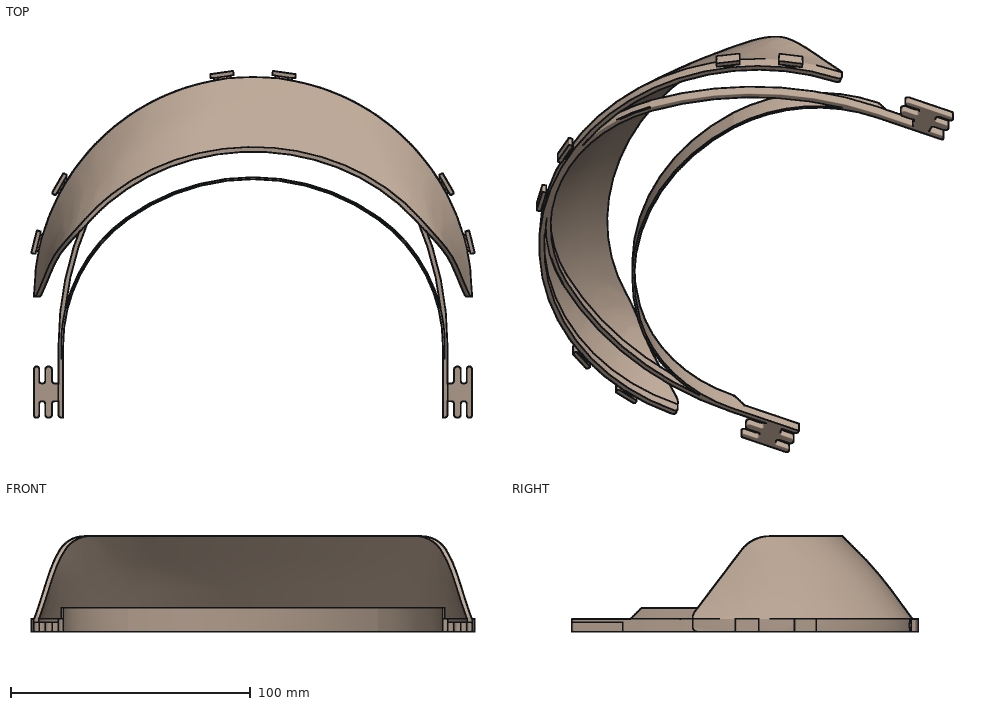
import cadquery as cq
import math

visor_radius = 91.4
visor_height = 40.0
visor_wall = 2.0
belly_height = 24.0
belly_front = 77.3
belly_half_width = 86.8
belly_depth = 79.9
rim_front = 62.1
rim_half_width = 88.6
rim_depth = 77.7

tip_y = -0.4
tip_height = 7.2
rim_start_y = 24.5
tip_bottom_radius = 2.2
tip_top_radius = 5.5
rim_corner_radius = 14.8

frame_height = 5.4
leg_inner_x = 79.2
leg_thickness = 2.0
leg_start_y = -20.7
leg_end_y = -50.9
leg_end_radius = 1.5
frame_side_radius = 135.0
frame_nose_radius = 61.5

band_height = 10.0
band_thickness = 1.0
band_side_radius = 64.7
band_nose_radius = 89.5
band_end_y = -26.3

hook_height = 4.0
hook_outer_x = 91.4
prong_top_y = -29.5
prong_bottom_y = leg_end_y
outer_prong_width = 2.2
middle_prong_width = 3.0
middle_prong_x = 85.3
plate_top_y = -36.5
plate_bottom_y = -44.0
slot_corner_radius = 1.0
edge_rounding = 0.4

clip_angles = (13.9, 30, 82)
clip_length = 9.8
clip_thickness = 1.8
clip_outer_radius = 94.1
clip_stem_length = 3.7
clip_stem_inset = 0.5
clip_rib_length = 7.0
clip_rib_height = 1.7
clip_end_radius = 0.4


def visor_solid(inset):
    """The full dome, with every section drawn in by the given inset."""
    belly_center = belly_front - belly_depth
    rim_center = rim_front - rim_depth
    base_radius = visor_radius - inset
    base = cq.Workplane("XY").circle(base_radius).extrude(frame_height)
    dome = (
        cq.Workplane("XY", origin=(0, 0, frame_height))
        .circle(base_radius)
        .workplane(offset=belly_height - frame_height)
        .center(0, belly_center)
        .ellipse(belly_half_width - inset, belly_depth - inset)
        .workplane(offset=visor_height - belly_height)
        .center(0, rim_center - belly_center)
        .ellipse(rim_half_width - inset, rim_depth - inset)
        .loft()
    )
    return base.union(dome)


def visor():
    front_y = visor_radius + visor_wall
    trim = (
        cq.Workplane("YZ", origin=(-clip_outer_radius, 0, 0))
        .moveTo(tip_y, 0)
        .lineTo(front_y, 0)
        .lineTo(front_y, visor_height)
        .lineTo(rim_start_y, visor_height)
        .lineTo(tip_y, tip_height)
        .close()
        .extrude(2 * clip_outer_radius)
    )
    corners = (
        (tip_y, 0, tip_bottom_radius),
        (tip_y, tip_height, tip_top_radius),
        (rim_start_y, visor_height, rim_corner_radius),
    )
    for y, z, radius in corners:
        trim = trim.edges(cq.selectors.NearestToPointSelector((0, y, z))).fillet(radius)
    return visor_solid(0).cut(visor_solid(visor_wall)).intersect(trim)


def arch_solid(side_radius, nose_radius, offset, end_y, height):
    """A filled arch: straight legs, side arcs and a nose arc, all tangent, grown by the offset."""
    half_width = leg_inner_x + offset
    side_center_x = leg_inner_x - side_radius
    center_gap = nose_radius - side_radius
    rise = math.copysign(math.sqrt(center_gap**2 - side_center_x**2), center_gap)
    nose_center_y = leg_start_y - rise
    nose = nose_radius + offset
    side = side_radius + offset
    tangent_angle = math.atan2(rise / center_gap, side_center_x / center_gap)
    joint_x = nose * math.cos(tangent_angle)
    joint_y = nose_center_y + nose * math.sin(tangent_angle)
    side_mid_x = side_center_x + side * math.cos(tangent_angle / 2)
    side_mid_y = leg_start_y + side * math.sin(tangent_angle / 2)
    return (
        cq.Workplane("XY")
        .moveTo(half_width, end_y)
        .lineTo(half_width, leg_start_y)
        .threePointArc((side_mid_x, side_mid_y), (joint_x, joint_y))
        .threePointArc((0, nose_center_y + nose), (-joint_x, joint_y))
        .threePointArc((-side_mid_x, side_mid_y), (-half_width, leg_start_y))
        .lineTo(-half_width, end_y)
        .close()
        .extrude(height)
    )


def frame():
    """The arch and legs, rounded along the outer side and at the leg ends."""
    arc_radii = (frame_side_radius, frame_nose_radius)
    outer = arch_solid(*arc_radii, leg_thickness, leg_end_y, frame_height)
    outer = outer.edges("|Z and <Y").fillet(leg_end_radius)
    outer = outer.faces("<Z or >Z").edges().fillet(edge_rounding)
    return outer.cut(arch_solid(*arc_radii, 0, leg_end_y, frame_height))


def headband():
    """The thin strip, its ends sloping down to the top of the legs."""
    arc_radii = (band_side_radius, band_nose_radius)
    outer = arch_solid(*arc_radii, band_thickness, band_end_y, band_height)
    strip = outer.cut(arch_solid(*arc_radii, 0, band_end_y, band_height))
    return strip.faces("<Y").edges(">Z").chamfer(band_height - frame_height)


def strap_hook():
    """The hook on the +X leg: a plate between rounded prongs."""
    prong_length = prong_top_y - prong_bottom_y
    prong_center_y = (prong_top_y + prong_bottom_y) / 2
    plate_length = plate_top_y - plate_bottom_y
    plate_start_x = leg_inner_x + leg_thickness / 2
    outer_prong_x = hook_outer_x - outer_prong_width / 2
    hook = (
        cq.Workplane("XY")
        .center((plate_start_x + outer_prong_x) / 2, (plate_top_y + plate_bottom_y) / 2)
        .rect(outer_prong_x - plate_start_x, plate_length)
        .extrude(hook_height)
    )
    for x, width in ((outer_prong_x, outer_prong_width), (middle_prong_x, middle_prong_width)):
        prong = (
            cq.Workplane("XY")
            .center(x, prong_center_y)
            .slot2D(prong_length, width, 90)
            .extrude(hook_height)
        )
        hook = hook.union(prong)
    slot_corners = cq.selectors.BoxSelector(
        (plate_start_x + slot_corner_radius, plate_bottom_y - slot_corner_radius, 0),
        (outer_prong_x, plate_top_y + slot_corner_radius, hook_height),
    )
    hook = hook.edges("|Z").edges(slot_corners).fillet(slot_corner_radius)
    return hook.faces("<Z or >Z").edges("not <X").fillet(edge_rounding)


def clip(angle):
    """A short bar standing off the visor base on a narrower stem and a mid-height rib."""
    bar_x = clip_outer_radius - clip_thickness / 2
    support_start = visor_radius - visor_wall / 2
    support_x = (support_start + bar_x) / 2
    support_depth = bar_x - support_start
    bar = (
        cq.Workplane("XY")
        .center(bar_x, 0)
        .rect(clip_thickness, clip_length)
        .extrude(frame_height)
        .edges("|Z")
        .fillet(clip_end_radius)
    )
    stem = (
        cq.Workplane("XY", origin=(support_x, 0, clip_stem_inset))
        .rect(support_depth, clip_stem_length)
        .extrude(frame_height - 2 * clip_stem_inset)
    )
    rib = (
        cq.Workplane("XY", origin=(support_x, 0, (frame_height - clip_rib_height) / 2))
        .rect(support_depth, clip_rib_length)
        .extrude(clip_rib_height)
    )
    return bar.union(stem).union(rib).rotate((0, 0, 0), (0, 0, 1), angle)


result = visor().union(frame()).union(headband())
side_parts = [strap_hook()] + [clip(angle) for angle in clip_angles]
for side_part in side_parts:
    result = result.union(side_part).union(side_part.mirror("YZ"))